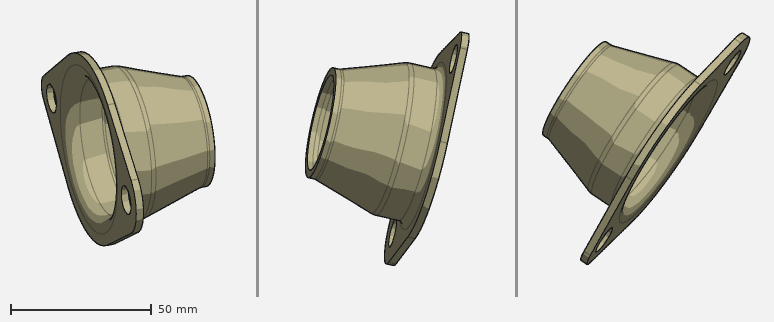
import cadquery as cq
import math

sheet = 2.7
length = 40.7
body_radius = 27.9
tip_radius = 20.1
inner_bend = sheet
outer_bend = inner_bend + sheet

shoulder_start = 13.9
tip_start = 38.7

flange_length = 101.8
flange_radius = 34.9
left_end_radius = 6.1
right_end_radius = 13.2
bolt_offset = 40.0
bolt_hole_diameter = 10.4


def tangent_unit(end_radius):
    """Unit normal of the straight edge from the flange circle to an end arc."""
    centre = flange_length / 2 - end_radius
    along = (flange_radius - end_radius) / centre
    return along, math.sqrt(1 - along**2)


def tangent_points(end_radius, side):
    """Upper ends of the straight edge: on the flange circle and on the end arc."""
    along, up = tangent_unit(end_radius)
    centre = flange_length / 2 - end_radius
    on_circle = (side * flange_radius * along, flange_radius * up)
    on_end = (side * (centre + end_radius * along), end_radius * up)
    return on_circle, on_end


def mirrored(point):
    return point[0], -point[1]


def make_flange():
    right_circle, right_end = tangent_points(right_end_radius, 1)
    left_circle, left_end = tangent_points(left_end_radius, -1)
    return (
        cq.Workplane("XZ")
        .moveTo(*left_circle)
        .threePointArc((0, flange_radius), right_circle)
        .lineTo(*right_end)
        .threePointArc((flange_length / 2, 0), mirrored(right_end))
        .lineTo(*mirrored(right_circle))
        .threePointArc((0, -flange_radius), mirrored(left_circle))
        .lineTo(*mirrored(left_end))
        .threePointArc((-flange_length / 2, 0), left_end)
        .close()
        .extrude(-sheet)
    )


def revolve_profile(offset, mouth_bend, shoulder_bend, tip_bend):
    """Solid bounded by the wall surface lying `offset` inside the outer wall."""
    mouth_y = outer_bend - mouth_bend
    body = body_radius - offset
    tip = tip_radius - offset

    def shoulder_point(angle):
        inward = shoulder_bend * (1 - math.cos(angle))
        return body - inward, shoulder_start + shoulder_bend * math.sin(angle)

    def tip_point(angle):
        outward = tip_bend * (1 - math.cos(angle))
        return tip + outward, tip_start - tip_bend * math.sin(angle)

    mouth_mid = (
        body + mouth_bend * (1 - math.sqrt(0.5)),
        outer_bend - mouth_bend * math.sqrt(0.5),
    )
    return (
        cq.Workplane("XY")
        .moveTo(0, mouth_y)
        .lineTo(body + mouth_bend, mouth_y)
        .threePointArc(mouth_mid, (body, outer_bend))
        .lineTo(body, shoulder_start)
        .threePointArc(shoulder_point(cone_angle / 2), shoulder_point(cone_angle))
        .lineTo(*tip_point(cone_angle))
        .threePointArc(tip_point(cone_angle / 2), (tip, tip_start))
        .lineTo(tip, length)
        .lineTo(0, length)
        .close()
        .revolve(360, (0, 0, 0), (0, 1, 0))
    )


def find_cone_angle():
    """Angle of the line tangent to both outer bend circles, which curve opposite ways."""
    bend_sum = outer_bend + inner_bend
    axial = tip_start - shoulder_start
    radial = bend_sum - (body_radius - tip_radius)
    distance = math.hypot(axial, radial)
    return math.atan2(axial, radial) - math.acos(bend_sum / distance)


cone_angle = find_cone_angle()

outer_body = revolve_profile(0, inner_bend, outer_bend, inner_bend)
bore = revolve_profile(sheet, outer_bend, inner_bend, outer_bend)

bolt_holes = (
    cq.Workplane("XZ")
    .pushPoints([(-bolt_offset, 0), (bolt_offset, 0)])
    .circle(bolt_hole_diameter / 2)
    .extrude(-sheet)
)

result = make_flange().union(outer_body).cut(bore).cut(bolt_holes)